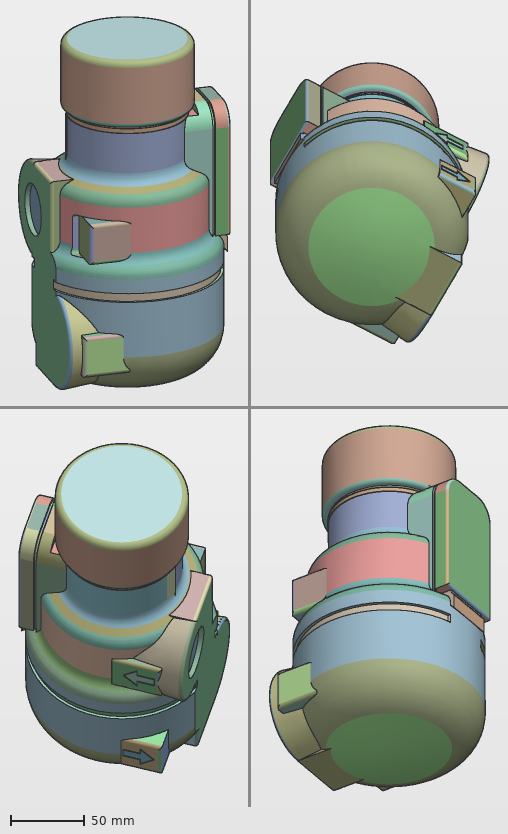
import cadquery as cq
import math

total_height = 244.0
body_radius = 131.5 / 2
waist_radius = 56.5
neck_radius = 41.5
cap_radius = 45.6
front_face = 60.0

body_base = 36.1
body_top = 92.8
waist_top = 141.8
cap_base = 195.8
collar_radius = 42.0
collar_base = 190.6
collar_top = 194.0
dome_corner = 31.2

shoulder_slope = math.radians(30)
shoulder_radius = body_radius - waist_radius
shoulder_arc_run = shoulder_radius * (1 - math.sin(shoulder_slope))
shortest_slope = 0.02

cap_top_round = 4.5
cap_base_round = 3.0

groove_radius = 63.7
groove_base = 76.5
groove_width = 6.3

boss_radius = 35.0
boss_offset = 24.0
boss_draft = 6.0
boss_depth = 56.1
upper_boss_height = 117.7
lower_boss_height = 40.0
boss_edge_round = 2.2
recess_radius = 18.3
recess_depth = 3.7
upper_web_right = 16.8
upper_web_base = 85.5
lower_web_left = -19.8
lower_web_top = 68.3

bracket_width = 52.7
bracket_center = -0.7
bracket_base = 103.0
bracket_top = 196.5
bracket_corner = 15.5
bracket_edge_round = 1.7
slot_front = 53.0
slot_width = 2.0
slot_depth = 2.0
cap_clearance_reach = 44.0
cap_clearance_base = 191.1
link_base = 94.0
foot_half_width = 18.5
foot_tip = 87.9
foot_front = 59.3
foot_chamfer = 2.2
foot_gap = 2.0

rib_start = -17.5
rib_end = -9.8
rib_top = 190.6
rib_base = 146.5

lug_height = 29.0
lug_edge_round = 2.5
upper_lug_base = 103.0
lower_lug_base = 24.2
upper_left_side = -56.9
upper_right_side = 54.5
lower_left_side = -63.5
lower_right_side = 61.8
upper_left_front = -44.7
upper_right_front = -44.0
lower_left_front = -46.9
lower_right_front = -50.8
upper_lug_rear = -9.5
lower_lug_rear = -18.0
lug_recess_left = 28.5
lug_recess_corner = 3.0
arrow_length = 22.0
arrow_head_width = 16.5
arrow_head_length = 9.8
arrow_shaft_width = 6.8
arrow_depth = 0.5
upper_arrow_y = -28.8
lower_arrow_y = -30.5


def block(x_range, y_range, z_range):
    """Axis-aligned block given by its limits."""
    sizes = [high - low for low, high in (x_range, y_range, z_range)]
    corner = (x_range[0], y_range[0], z_range[0])
    return cq.Workplane("XY").box(*sizes, centered=False).translate(corner)


def shoulder(profile, outer_radius, z_low, inner_radius, z_high):
    """Add a convex arc, a slope and a concave arc that lead up from outer to inner radius."""
    half = (shoulder_slope + math.pi / 2) / 2

    def offset(angle):
        return (
            shoulder_radius * (1 - math.sin(angle)),
            shoulder_radius * math.cos(angle),
        )

    mid_in, mid_up = offset(half)
    end_in, end_up = offset(shoulder_slope)
    profile = profile.threePointArc(
        (outer_radius - mid_in, z_low + mid_up),
        (outer_radius - end_in, z_low + end_up),
    )
    slope_run = outer_radius - inner_radius - 2 * shoulder_arc_run
    if slope_run > shortest_slope:
        profile = profile.lineTo(inner_radius + end_in, z_high - end_up)
    return profile.threePointArc(
        (inner_radius + mid_in, z_high - mid_up), (inner_radius, z_high)
    )


def shoulder_height(outer_radius, inner_radius):
    """Height of a shoulder between two radii."""
    arcs = 2 * shoulder_radius * math.cos(shoulder_slope)
    slope_run = outer_radius - inner_radius - 2 * shoulder_arc_run
    return arcs + slope_run * math.tan(shoulder_slope)


waist_base = body_top + shoulder_height(body_radius, waist_radius)
neck_base = waist_top + shoulder_height(waist_radius, neck_radius)


def make_body():
    """Turned body: shallow dome, straight wall, two shoulders and neck, flattened at the front."""
    corner_center = body_radius - dome_corner
    dome_radius = (corner_center**2 + body_base**2 - dome_corner**2) / (2 * (body_base - dome_corner))
    dome_angle = math.atan2(corner_center, dome_radius - body_base)
    corner_mid = (math.pi / 2 + dome_angle) / 2

    def dome_point(angle):
        return dome_radius * math.sin(angle), dome_radius * (1 - math.cos(angle))

    profile = (
        cq.Workplane("XZ")
        .moveTo(0, 0)
        .threePointArc(dome_point(dome_angle / 2), dome_point(dome_angle))
        .threePointArc(
            (
                corner_center + dome_corner * math.sin(corner_mid),
                body_base - dome_corner * math.cos(corner_mid),
            ),
            (body_radius, body_base),
        )
        .lineTo(body_radius, body_top)
    )
    profile = shoulder(profile, body_radius, body_top, waist_radius, waist_base)
    profile = profile.lineTo(waist_radius, waist_top)
    profile = shoulder(profile, waist_radius, waist_top, neck_radius, neck_base)
    turned = profile.lineTo(neck_radius, cap_base).lineTo(0, cap_base).close().revolve()
    front_waste = block(
        (-body_radius, body_radius), (-2 * body_radius, -front_face), (0, total_height)
    )
    return turned.cut(front_waste)


def make_cap():
    """Round cap, rounded at both ends."""
    cap_height = total_height - cap_base
    cap = cq.Workplane("XY").workplane(offset=cap_base).circle(cap_radius).extrude(cap_height)
    cap = cap.faces(">Z").edges().fillet(cap_top_round)
    return cap.faces("<Z").edges().fillet(cap_base_round)


def make_boss(x_center, z_center, web_x, web_z):
    """Drafted round boss with a straight web beside it, each rounded along its front edge."""
    boss = (
        cq.Workplane("XZ", origin=(x_center, -front_face, z_center))
        .circle(boss_radius)
        .extrude(-boss_depth, taper=boss_draft)
    )
    web = block(web_x, (-front_face, boss_depth - front_face), web_z)
    boss = boss.faces("<Y").edges().fillet(boss_edge_round)
    web = web.faces("<Y").edges().fillet(boss_edge_round)
    return boss.union(web)


def make_bracket():
    """Arched rear bracket with a slot around its rear plate, clear of the cap."""
    x_range = (bracket_center - bracket_width / 2, bracket_center + bracket_width / 2)

    def arch(inset, y_range):
        slab = block(
            (x_range[0] + inset, x_range[1] - inset),
            y_range,
            (bracket_base, bracket_top - inset),
        )
        return slab.edges("|Y and >Z").fillet(bracket_corner - inset)

    slot_rear = slot_front + slot_width
    bracket = arch(0, (0, slot_front))
    core = arch(slot_depth, (0, slot_rear + slot_width))
    rear_plate = arch(0, (slot_rear, body_radius)).faces(">Y").edges().fillet(bracket_edge_round)
    bracket = bracket.union(core).union(rear_plate)
    clearance = block(
        (-cap_radius, cap_radius), (0, cap_clearance_reach), (cap_clearance_base, total_height)
    )
    link = block(x_range, (0, slot_front), (link_base, bracket_base))
    return bracket.cut(clearance).union(link)


def make_foot():
    """Narrow foot under the bracket, with a small notch below the rear plate."""
    notch_y = body_radius - foot_chamfer
    notch_z = bracket_base - foot_gap
    outline = [
        (slot_front, bracket_base),
        (notch_y, bracket_base),
        (notch_y, notch_z),
        (body_radius, notch_z - foot_chamfer),
        (body_radius, foot_tip),
        (foot_front, link_base),
        (slot_front, link_base),
    ]
    return cq.Workplane("YZ").polyline(outline).close().extrude(foot_half_width, both=True)


def make_rib():
    """Rib whose flat face leaves the neck tangentially and ends in a small step."""
    tangent_y = -math.sqrt(neck_radius**2 - rib_start**2)
    step_y = (neck_radius**2 - rib_start * rib_end) / tangent_y
    return (
        cq.Workplane("XY")
        .workplane(offset=rib_base)
        .polyline([(rib_start, tangent_y), (rib_end, step_y), (rib_end, 0), (rib_start, 0)])
        .close()
        .extrude(rib_top - rib_base)
    )


def make_lug(side_x, y_range, z_base):
    """Lug from the body out to side_x, rounded around its side face."""
    x_range = (min(0, side_x), max(0, side_x))
    lug = block(x_range, y_range, (z_base, z_base + lug_height))
    outer_face = "<X" if side_x < 0 else ">X"
    return lug.faces(outer_face).edges("not >Y").fillet(lug_edge_round)


def make_arrow(side_x, y_center, z_center, direction):
    """Shallow arrow cutter on a -X face; direction is the sign of Y it points to."""
    half = arrow_length / 2
    neck = half - arrow_head_length
    upper = [
        (-half, arrow_shaft_width / 2),
        (neck, arrow_shaft_width / 2),
        (neck, arrow_head_width / 2),
    ]
    lower = [(along, -across) for along, across in reversed(upper)]
    outline = [(direction * along, across) for along, across in upper + [(half, 0)] + lower]
    return (
        cq.Workplane("YZ", origin=(side_x, y_center, z_center))
        .polyline(outline)
        .close()
        .extrude(arrow_depth)
    )


upper_boss = make_boss(
    -boss_offset,
    upper_boss_height,
    (-boss_offset, upper_web_right),
    (upper_web_base, upper_boss_height + boss_radius),
)
lower_boss = make_boss(
    boss_offset,
    lower_boss_height,
    (lower_web_left, boss_offset),
    (lower_boss_height - boss_radius, lower_web_top),
)
lugs = [
    make_lug(upper_left_side, (upper_left_front, upper_lug_rear), upper_lug_base),
    make_lug(upper_right_side, (upper_right_front, upper_lug_rear), upper_lug_base),
    make_lug(lower_left_side, (lower_left_front, lower_lug_rear), lower_lug_base),
    make_lug(lower_right_side, (lower_right_front, lower_lug_rear), lower_lug_base),
]
ring_groove = (
    cq.Workplane("XY")
    .workplane(offset=groove_base)
    .circle(2 * body_radius)
    .circle(groove_radius)
    .extrude(groove_width)
)
ring_groove = ring_groove.cut(
    block((-foot_half_width, foot_half_width), (0, body_radius), (0, total_height))
)
lug_recess = block(
    (lug_recess_left, body_radius),
    (-front_face, upper_right_front),
    (upper_lug_base, upper_lug_base + lug_height),
)
lug_recess = lug_recess.edges("|Y and <X").fillet(lug_recess_corner)
collar = (
    cq.Workplane("XY")
    .workplane(offset=collar_base)
    .circle(collar_radius)
    .extrude(collar_top - collar_base)
)
recess = (
    cq.Workplane("XZ", origin=(-boss_offset, -front_face, upper_boss_height))
    .circle(recess_radius)
    .extrude(-recess_depth)
)

result = make_body().union(make_cap()).union(collar).cut(lug_recess)
for feature in [upper_boss, lower_boss, make_bracket(), make_foot(), make_rib(), *lugs]:
    result = result.union(feature)
result = result.cut(ring_groove).cut(recess)
result = result.cut(make_arrow(upper_left_side, upper_arrow_y, upper_lug_base + lug_height / 2, 1))
result = result.cut(make_arrow(lower_left_side, lower_arrow_y, lower_lug_base + lug_height / 2, -1))